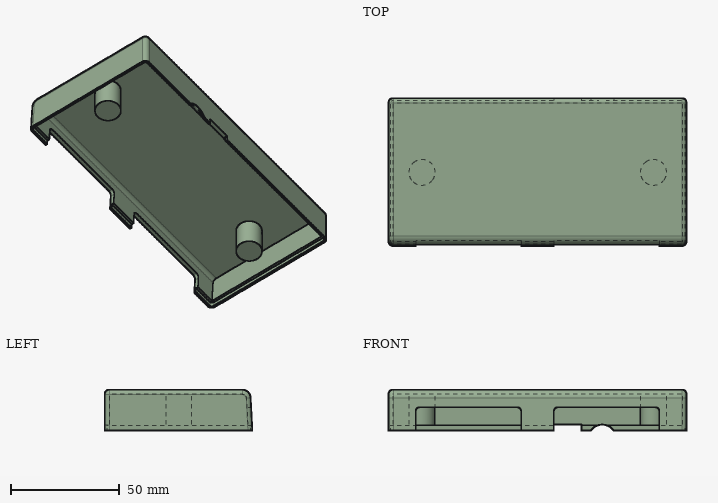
import cadquery as cq
import math

LENGTH = 137.2
DEPTH = 68.0
HEIGHT = 19.0
FRONT_LEAN = 3.0
FRONT_TOP_RADIUS = 4.0
EDGE_RADIUS = 2.2

WALL = 2.0
LIP_THICKNESS = 1.0
LIP_HEIGHT = 2.5

WINDOW_INNER_X = 7.5
WINDOW_OUTER_X = 56.0
WINDOW_HEIGHT = 10.8
WINDOW_CORNER_RADIUS = 1.8

NOTCH_HEIGHT = 2.7
SQUARE_NOTCH_LENGTH = 12.6
ROUND_NOTCH_X = 29.8
ROUND_NOTCH_RADIUS = 6.5

POST_DIAMETER = 12.0
POST_X = 53.2

FRONT_Y = -DEPTH / 2
BACK_Y = DEPTH / 2
LEAN = math.radians(FRONT_LEAN)


def block(inset, top):
    """Block with a leaning front, its walls set in from the outer faces by inset."""
    front_bottom = FRONT_Y + inset / math.cos(LEAN)
    front_top = front_bottom + top * math.tan(LEAN)
    back = BACK_Y - inset
    length = LENGTH - 2 * inset
    return (
        cq.Workplane("YZ", origin=(-length / 2, 0, 0))
        .polyline([(front_bottom, 0), (back, 0), (back, top), (front_top, top)])
        .close()
        .extrude(length)
    )


def rounded_front(body, radius):
    """Round the long edge where the top meets the front wall."""
    return body.faces(">Z").edges("<Y").fillet(radius)


def outer_body():
    body = rounded_front(block(0, HEIGHT), FRONT_TOP_RADIUS)
    side_edges = body.faces("<X or >X").edges("not <Z")
    back_top_edge = body.faces(">Z").edges(">Y")
    return body.newObject(side_edges.vals() + back_top_edge.vals()).fillet(EDGE_RADIUS)


def cavity():
    return rounded_front(block(WALL, HEIGHT - WALL), FRONT_TOP_RADIUS - WALL)


def lip_step():
    step = block(LIP_THICKNESS, LIP_HEIGHT)
    upright_edges = step.faces("<X or >X").edges("not #Z")
    return step.newObject(upright_edges.vals()).fillet(EDGE_RADIUS - LIP_THICKNESS)


def posts():
    return (
        cq.Workplane("XY", origin=(0, 0, LIP_HEIGHT))
        .pushPoints([(-POST_X, 0), (POST_X, 0)])
        .circle(POST_DIAMETER / 2)
        .extrude(HEIGHT - WALL - LIP_HEIGHT)
    )


def window(side):
    """Round-cornered opening cut square to the leaning front wall; side is -1 or 1."""
    reach = 2 * WALL
    width = WINDOW_OUTER_X - WINDOW_INNER_X
    centre_x = side * (WINDOW_OUTER_X + WINDOW_INNER_X) / 2
    front_bottom = (centre_x, FRONT_Y, 0)
    front_bottom_end = (centre_x + width, FRONT_Y, 0)
    return (
        cq.Workplane("XY", origin=front_bottom)
        .box(width, 2 * reach, 2 * WINDOW_HEIGHT)
        .edges("|Y and >Z")
        .fillet(WINDOW_CORNER_RADIUS)
        .rotate(front_bottom, front_bottom_end, -FRONT_LEAN)
    )


def square_notch():
    return cq.Workplane("XY", origin=(WINDOW_INNER_X, BACK_Y, 0)).box(
        SQUARE_NOTCH_LENGTH, 4 * WALL, NOTCH_HEIGHT, centered=(False, True, False)
    )


def round_notch():
    centre_z = NOTCH_HEIGHT - ROUND_NOTCH_RADIUS
    return (
        cq.Workplane("XZ", origin=(ROUND_NOTCH_X, BACK_Y, centre_z))
        .circle(ROUND_NOTCH_RADIUS)
        .extrude(2 * WALL, both=True)
    )


cover = outer_body().cut(cavity()).cut(lip_step()).union(posts())
for side in (-1, 1):
    cover = cover.cut(window(side))
result = cover.cut(square_notch()).cut(round_notch())